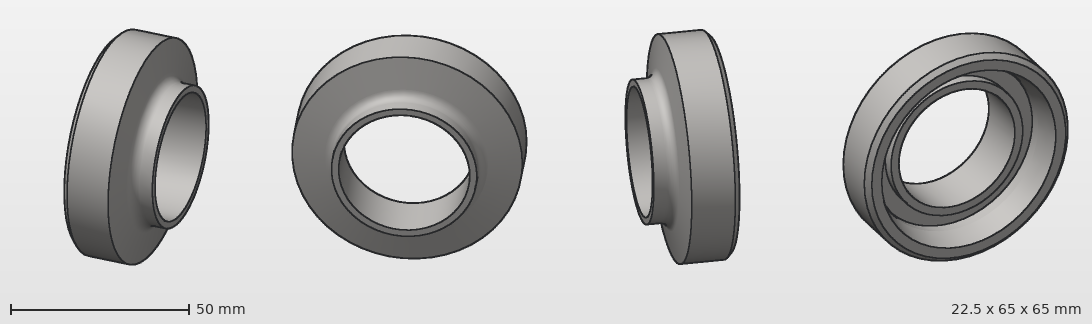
import cadquery as cq
import math

length = 22.5
rim_end = 14.05
chamfer = 1.55
taper_depth = 7.0
floor_depth = 10.45
lip_face = taper_depth

outer_radius = 65 / 2
hub_radius = 41.0 / 2
bore_radius = 37.0 / 2
lip_radius = 42.0 / 2
recess_radius = 51.8 / 2
mouth_radius = 55.5 / 2

back_angle = math.radians(10)
neck_fillet = 3.0

neck_x = rim_end + (outer_radius - hub_radius) * math.tan(back_angle)

fillet_setback = neck_fillet * math.tan((math.pi / 2 - back_angle) / 2)
fillet_start = (
    neck_x - fillet_setback * math.sin(back_angle),
    hub_radius + fillet_setback * math.cos(back_angle),
)
fillet_end = (neck_x + fillet_setback, hub_radius)

fillet_center = (fillet_end[0], hub_radius + neck_fillet)
mid_angle = (math.pi / 2 + back_angle) / 2
fillet_middle = (
    fillet_center[0] - neck_fillet * math.cos(mid_angle),
    fillet_center[1] - neck_fillet * math.sin(mid_angle),
)


def half_section():
    """Closed half section of the ring, as (axial position, radius)."""
    outside = (
        cq.Workplane("XY")
        .moveTo(0, mouth_radius)
        .lineTo(0, outer_radius - chamfer)
        .lineTo(chamfer, outer_radius)
        .lineTo(rim_end, outer_radius)
        .lineTo(*fillet_start)
        .threePointArc(fillet_middle, fillet_end)
        .lineTo(length, hub_radius)
        .lineTo(length, bore_radius)
    )
    return (
        outside
        .lineTo(lip_face, bore_radius)
        .lineTo(lip_face, lip_radius)
        .lineTo(floor_depth, lip_radius)
        .lineTo(floor_depth, recess_radius)
        .lineTo(taper_depth, recess_radius)
        .close()
    )


result = half_section().revolve(360, (0, 0, 0), (1, 0, 0))